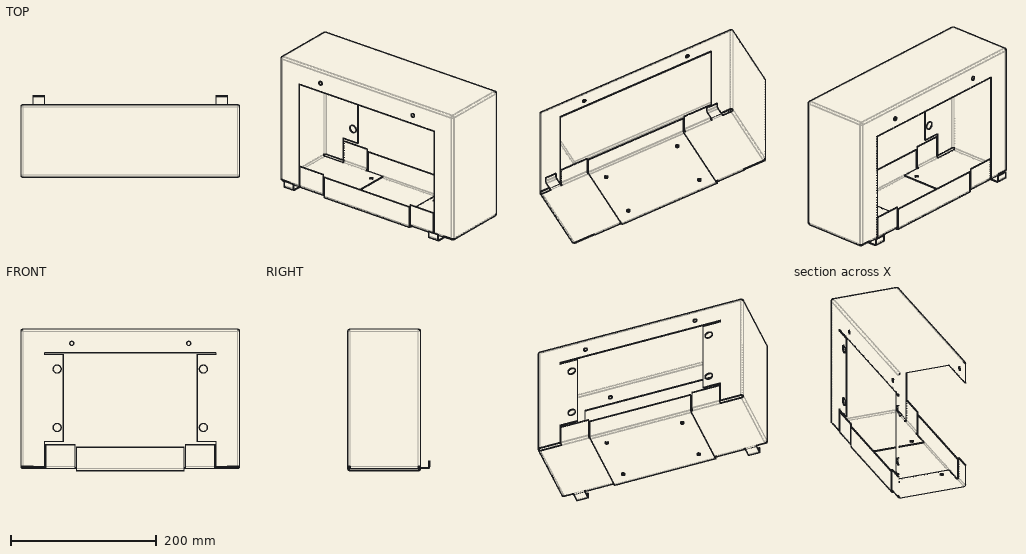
import cadquery as cq
import math

sheet = 1.5
bend_outer = 3.3
bend_inner = bend_outer - sheet

width = 300.0
housing_depth = 100.0
overall_depth = 112.5
overall_height = 194.5
housing_bottom = 3.0
bend_top = housing_bottom + bend_outer

window_half_width = 117.3
window_top = 161.7

tongue_inner_x = 91.8
tongue_bottom = 40.0
tongue_top = 159.5

tongue_hole_diameter = 10.8
tongue_hole_x = 100.2
tongue_hole_heights = (59.5, 139.5)
header_hole_diameter = 5.5
header_hole_x = 80.0
header_hole_z = 174.5

flap_inner_x = 46.5
tab_inner_x = 75.5
tab_outer_x = 116.0
tab_top = 36.0
hook_inner_x = window_half_width
hook_outer_x = 133.5
hook_top = 13.2
hook_bend_outer = 3.0

channel_half_width = 73.8
channel_top = 32.5
channel_bend_outer = 3.0

fixing_hole_diameter = 4.8
fixing_hole_x = 55.2
fixing_hole_inset = 17.7


def block(x_range, y_range, z_range):
    """Box given by its lower and upper limits along each axis."""
    sizes = [upper - lower for lower, upper in (x_range, y_range, z_range)]
    corner = (x_range[0], y_range[0], z_range[0])
    return cq.Workplane("XY").box(*sizes, centered=False).translate(corner)


def on_both_sides(half):
    """The shape together with its mirror image across the middle YZ plane."""
    return half.union(half.mirror("YZ"))


def at_front_and_back(front):
    """The shape together with its mirror image across the housing's middle XZ plane."""
    return front.union(front.mirror("XZ", (0, housing_depth / 2, 0)))


def bent_strip(x_range, start_y, face_y, bottom, top, outer_radius):
    """L-shaped strip: flat from start_y, then bent up so its outer face lies at face_y."""
    inward = 1 if start_y > face_y else -1
    inner_radius = outer_radius - sheet
    inner_y = face_y + inward * sheet
    center_y = face_y + inward * outer_radius
    center_z = bottom + outer_radius
    diagonal = math.sqrt(0.5)
    outer_middle = (center_y - inward * outer_radius * diagonal, center_z - outer_radius * diagonal)
    inner_middle = (center_y - inward * inner_radius * diagonal, center_z - inner_radius * diagonal)
    profile = cq.Workplane("YZ", origin=(x_range[0], 0, 0)).moveTo(center_y, bottom)
    profile = (
        profile.threePointArc(outer_middle, (face_y, center_z))
        .lineTo(face_y, top)
        .lineTo(inner_y, top)
        .lineTo(inner_y, center_z)
        .threePointArc(inner_middle, (center_y, bottom + sheet))
    )
    profile = profile.lineTo(start_y, bottom + sheet).lineTo(start_y, bottom)
    return profile.close().extrude(x_range[1] - x_range[0])


def drills_along_y(points, diameter):
    """Cylinders through the full depth of the housing, centred on (x, z) points."""
    return cq.Workplane("XZ").pushPoints(points).circle(diameter / 2).extrude(-housing_depth)


def fixing_holes():
    """Vertical drills at the four fixing points."""
    hole = (
        cq.Workplane("XY")
        .center(fixing_hole_x, fixing_hole_inset)
        .circle(fixing_hole_diameter / 2)
        .extrude(bend_top)
    )
    return at_front_and_back(on_both_sides(hole))


def rounded_shell():
    """Closed sheet-metal box with rounded edges."""
    outside = block((-width / 2, width / 2), (0, housing_depth), (housing_bottom, overall_height))
    inside = block(
        (-width / 2 + sheet, width / 2 - sheet),
        (sheet, housing_depth - sheet),
        (housing_bottom + sheet, overall_height - sheet),
    )
    return outside.edges().fillet(bend_outer).cut(inside.edges().fillet(bend_inner))


def make_housing():
    body = rounded_shell()

    window = block((-window_half_width, window_half_width), (0, bend_outer), (housing_bottom, window_top))
    body = body.cut(at_front_and_back(window))

    slit = block((0, width / 2), (0, bend_outer), (housing_bottom, bend_top))
    kept_bend = block(
        (hook_inner_x, hook_outer_x),
        (housing_depth - bend_outer, housing_depth),
        (housing_bottom, bend_top),
    )
    body = body.cut(on_both_sides(at_front_and_back(slit).cut(kept_bend)))

    floor_gap = block((-flap_inner_x, flap_inner_x), (0, housing_depth), (housing_bottom, bend_top))
    body = body.cut(floor_gap)

    tongue = block((tongue_inner_x, window_half_width), (0, sheet), (tongue_bottom, tongue_top))
    body = body.union(on_both_sides(tongue))

    tab_root = 2 * bend_outer
    tab = bent_strip((tab_inner_x, tab_outer_x), tab_root, 0, housing_bottom, tab_top, bend_outer)
    body = body.union(at_front_and_back(on_both_sides(tab)))

    hook = bent_strip(
        (hook_inner_x, hook_outer_x),
        housing_depth - bend_outer,
        overall_depth,
        housing_bottom,
        hook_top,
        hook_bend_outer,
    )
    body = body.union(on_both_sides(hook))

    sides = (-1, 1)
    tongue_points = [(side * tongue_hole_x, height) for side in sides for height in tongue_hole_heights]
    header_points = [(side * header_hole_x, header_hole_z) for side in sides]
    body = body.cut(drills_along_y(tongue_points, tongue_hole_diameter))
    body = body.cut(drills_along_y(header_points, header_hole_diameter))
    return body.cut(fixing_holes())


def make_channel():
    x_range = (-channel_half_width, channel_half_width)
    half = bent_strip(x_range, housing_depth / 2, 0, 0, channel_top, channel_bend_outer)
    return at_front_and_back(half).cut(fixing_holes())


housing = make_housing()
channel = make_channel()
result = cq.Compound.makeCompound([housing.solids().val(), channel.solids().val()])